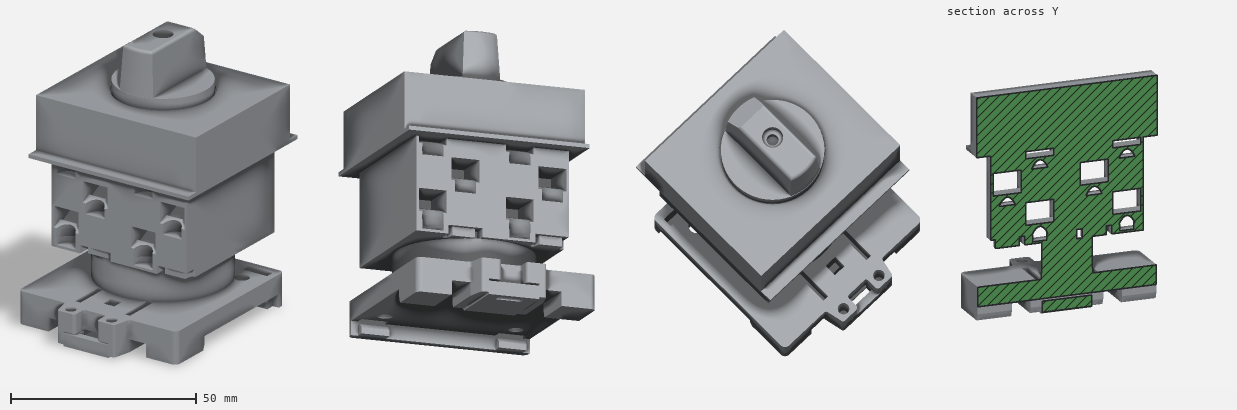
import cadquery as cq
import math


BASE_BOTTOM = 0.3
BASE_TOP = 10.05
BODY_BOTTOM = 20.3
FLANGE_BOTTOM = 46.8
FLANGE_TOP = 48.0
HOUSING_TOP = 64.0
DISC_TOP = 67.25
GRIP_TOP = 80.3

HOUSING_WIDTH = 52.4
HOUSING_DEPTH = 45.0
FLANGE_DEPTH = 52.1
BODY_WIDTH = 44.3
BODY_DEPTH = 42.0
BODY_FRONT = -BODY_DEPTH / 2
NECK_DIAMETER = 39.0

KNOB_DIAMETER = 27.95
KNOB_GROOVE_DIAMETER = 28.8
KNOB_GROOVE_DEPTH = 0.8
GRIP_BOTTOM_DIAMETER = 27.7
GRIP_TOP_DIAMETER = 25.9
GRIP_BOTTOM_WIDTH = 10.9
GRIP_TOP_WIDTH = 9.5
GRIP_FILLET = 1.0
SLANT_TOP_Y = 8.0
SLANT_DROP = 4.4
SLANT_RUN = 5.15
KNOB_HOLE_DIAMETER = 5.7
KNOB_HOLE_DEPTH = 2.65
KNOB_SCREW_DIAMETER = 3.2
KNOB_SCREW_DEPTH = 2.4

POCKET_WIDTH = 8.0
POCKET_HEIGHT = 6.35
POCKET_PITCH = 25.2
POCKET_X = 17.35
ROW_PITCH = 9.5
LOWEST_SILL = 25.95
SLOPE_ANGLE = 25
SLOPE = math.tan(math.radians(SLOPE_ANGLE))
FIRST_SLOPE_DEPTH = 3.0
SECOND_SLOPE_DEPTH = 8.4
BORE_DIAMETER = 6.2
BORE_DROP = 3.1
BORE_INSET = 0.65
LOWEST_FLOOR = 21.05

RECESS_WIDTH = 10.0
RECESS_HEIGHT = 2.5
RECESS_DEPTH = 4.0
LATCH_INSET = 1.4
LATCH_FACE_WIDTH = 6.5
LATCH_ROOT_WIDTH = 7.55

BASE_WIDTH = 51.9
BASE_BACK = 20.0
BASE_FRONT = -31.4
BASE_CORNER = 1.6
RAIL_ROOF = 4.3
RAIL_BACK = 17.4
RAIL_FRONT = -18.0
FOOT_SLANT_TOP = 2.25
FOOT_SLANT_RUN = 0.65

TONGUE_FRONT = -36.95
TONGUE_BOTTOM = 0.6
TONGUE_ROOT_WIDTH = 21.05
TONGUE_TIP_WIDTH = 18.6
TONGUE_ROOT_FILLET = 0.8
TONGUE_TIP_FILLET = 0.7
FRONT_NOTCH_WIDTH = 31.9
TONGUE_WINDOW_WIDTH = 7.15
TONGUE_WINDOW_BACK = -32.5
TONGUE_WINDOW_CORNER = 0.65
TONGUE_WINDOW_LIP = 1.0
TONGUE_HOLE_X = 6.7
TONGUE_HOLE_Y = -34.3
TONGUE_HOLE_TOP_DIAMETER = 3.1
TONGUE_HOLE_BOTTOM_DIAMETER = 2.1

SLIT_X = 8.1
SLIT_WIDTH = 1.8
SLIT_FRONT = -28.9
SLIT_BACK = RAIL_FRONT
SQUARE_SIZE = 3.6
SQUARE_Y = -24.2
HOOK_X = 19.9
HOOK_WIDTH = 8.0
HOOK_REACH = 2.65
HOOK_TOP = 3.2
HOOK_CHAMFER = 1.1
MOUNT_HOLE_DIAMETER = 4.2
MOUNT_HOLE_X = 19.0
MOUNT_HOLE_Y = 10.05

SLIDER_FRONT = -36.9
SLIDER_WIDTH = 14.6
SLIDER_TOP = 3.8
SLIDER_BAR_BACK = -34.6
SLIDER_POCKET_WIDTH = 12.05
SLIDER_POCKET_BACK = -24.1
SLIDER_POCKET_FLOOR = 0.65
WEDGE_FOOT_Y = -18.6
WEDGE_TIP_Y = -15.7
WEDGE_TIP_Z = 2.2
WEDGE_TOP_Y = -17.35
WEDGE_TOP_Z = 3.2


def block(x_min, x_max, y_min, y_max, z_min, z_max):
    """Box given by its limits along each axis."""
    size = (x_max - x_min, y_max - y_min, z_max - z_min)
    return cq.Workplane("XY").box(*size, centered=False).translate((x_min, y_min, z_min))


def centred_block(x_centre, width, y_min, y_max, z_min, z_max):
    """Box centred on x_centre along X."""
    return block(x_centre - width / 2, x_centre + width / 2, y_min, y_max, z_min, z_max)


def cylinder(x, y, diameter, z_min, z_max):
    """Upright cylinder."""
    return cq.Workplane("XY", origin=(x, y, z_min)).circle(diameter / 2).extrude(z_max - z_min)


def profile_along_x(points, x_centre, width):
    """Closed outline of (y, z) points, extruded along X about x_centre."""
    plane = cq.Workplane("YZ", origin=(x_centre - width / 2, 0, 0))
    return plane.polyline(points).close().extrude(width)


def make_knob():
    """Round disc carrying a tapered grip with a slanted back and a stepped hole."""
    slab = (
        cq.Workplane("XZ", origin=(0, KNOB_DIAMETER / 2, 0))
        .polyline([
            (-GRIP_BOTTOM_WIDTH / 2, DISC_TOP),
            (GRIP_BOTTOM_WIDTH / 2, DISC_TOP),
            (GRIP_TOP_WIDTH / 2, GRIP_TOP),
            (-GRIP_TOP_WIDTH / 2, GRIP_TOP),
        ])
        .close()
        .extrude(KNOB_DIAMETER)
    )
    envelope = (
        cq.Workplane("XY", origin=(0, 0, DISC_TOP))
        .circle(GRIP_BOTTOM_DIAMETER / 2)
        .workplane(offset=GRIP_TOP - DISC_TOP)
        .circle(GRIP_TOP_DIAMETER / 2)
        .loft()
    )
    grip = slab.intersect(envelope).faces(">Z").edges().fillet(GRIP_FILLET)
    slant_end_y = SLANT_TOP_Y + 2 * SLANT_RUN
    slant = profile_along_x(
        [
            (SLANT_TOP_Y, GRIP_TOP),
            (slant_end_y, GRIP_TOP),
            (slant_end_y, GRIP_TOP - 2 * SLANT_DROP),
        ],
        0,
        KNOB_DIAMETER,
    )
    hole_floor = GRIP_TOP - KNOB_HOLE_DEPTH
    hole = cylinder(0, 0, KNOB_HOLE_DIAMETER, hole_floor, GRIP_TOP)
    screw_hole = cylinder(0, 0, KNOB_SCREW_DIAMETER, hole_floor - KNOB_SCREW_DEPTH, hole_floor)
    disc = cylinder(0, 0, KNOB_DIAMETER, HOUSING_TOP, DISC_TOP)
    return disc.union(grip.cut(slant)).cut(hole).cut(screw_hole)


def make_housing():
    """Square housing with a groove around the knob, above a flange that projects front and back."""
    housing = centred_block(0, HOUSING_WIDTH, -HOUSING_DEPTH / 2, HOUSING_DEPTH / 2, FLANGE_TOP, HOUSING_TOP)
    flange = centred_block(0, HOUSING_WIDTH, -FLANGE_DEPTH / 2, FLANGE_DEPTH / 2, FLANGE_BOTTOM, FLANGE_TOP)
    groove_floor = HOUSING_TOP - KNOB_GROOVE_DEPTH
    groove = cylinder(0, 0, KNOB_GROOVE_DIAMETER, groove_floor, HOUSING_TOP)
    groove = groove.cut(cylinder(0, 0, KNOB_DIAMETER, groove_floor, HOUSING_TOP))
    return housing.cut(groove).union(flange)


def terminal_pocket(x, sill):
    """Terminal opening with a saw-tooth sloping floor and a leaning screwdriver bore."""
    step_y = BODY_FRONT + FIRST_SLOPE_DEPTH
    back_y = step_y + SECOND_SLOPE_DEPTH
    top = sill + POCKET_HEIGHT
    opening = profile_along_x(
        [
            (BODY_FRONT, sill),
            (step_y, sill + SLOPE * FIRST_SLOPE_DEPTH),
            (step_y, sill),
            (back_y, sill + SLOPE * SECOND_SLOPE_DEPTH),
            (back_y, top),
            (BODY_FRONT, top),
        ],
        x,
        POCKET_WIDTH,
    )
    floor = sill - BORE_DROP
    axis = cq.Vector(0, -SLOPE, 1)
    foot = cq.Vector(x, BODY_FRONT + BORE_INSET, floor) - axis * BORE_DIAMETER
    bore = cq.Workplane(cq.Solid.makeCylinder(BORE_DIAMETER / 2, 3 * BORE_DIAMETER, foot, axis))
    bore = bore.intersect(
        centred_block(x, POCKET_WIDTH, BODY_FRONT, back_y, floor, sill + SLOPE * FIRST_SLOPE_DEPTH)
    )
    return opening.union(bore)


def latch_recess(x):
    """Recess in the lower front edge, leaving a tapered latch set back inside it."""
    back_y = BODY_FRONT + RECESS_DEPTH
    top = BODY_BOTTOM + RECESS_HEIGHT
    recess = centred_block(x, RECESS_WIDTH, BODY_FRONT, back_y, BODY_BOTTOM, top)
    latch_y = BODY_FRONT + LATCH_INSET
    latch = (
        cq.Workplane("XY", origin=(x, 0, BODY_BOTTOM))
        .polyline([
            (-LATCH_FACE_WIDTH / 2, latch_y),
            (LATCH_FACE_WIDTH / 2, latch_y),
            (LATCH_ROOT_WIDTH / 2, back_y),
            (-LATCH_ROOT_WIDTH / 2, back_y),
        ])
        .close()
        .extrude(RECESS_HEIGHT)
    )
    return recess.cut(latch)


def make_body():
    """Terminal body with three staggered rows of terminals on its front face."""
    body = centred_block(0, BODY_WIDTH, BODY_FRONT, -BODY_FRONT, BODY_BOTTOM, FLANGE_BOTTOM)
    left_row = (-POCKET_X, POCKET_PITCH - POCKET_X)
    right_row = (POCKET_X - POCKET_PITCH, POCKET_X)
    for row, centres in enumerate((left_row, right_row, left_row)):
        for x in centres:
            body = body.cut(terminal_pocket(x, LOWEST_SILL + row * ROW_PITCH))
    bore_y = BODY_FRONT + BORE_INSET
    for x in left_row:
        body = body.cut(cylinder(x, bore_y, BORE_DIAMETER, LOWEST_FLOOR, LOWEST_SILL - BORE_DROP))
    for x in right_row:
        body = body.cut(latch_recess(x))
    return body


def make_tongue():
    """Tapered tongue with a window open at its tip and two tapered holes."""
    outline = [
        (-TONGUE_ROOT_WIDTH / 2, BASE_FRONT),
        (-TONGUE_TIP_WIDTH / 2, TONGUE_FRONT),
        (TONGUE_TIP_WIDTH / 2, TONGUE_FRONT),
        (TONGUE_ROOT_WIDTH / 2, BASE_FRONT),
    ]
    height = BASE_TOP - TONGUE_BOTTOM
    tongue = cq.Workplane("XY", origin=(0, 0, TONGUE_BOTTOM)).polyline(outline).close().extrude(height)
    tongue = tongue.edges("|Z and <Y").fillet(TONGUE_TIP_FILLET)
    window = centred_block(
        0, TONGUE_WINDOW_WIDTH, TONGUE_FRONT, TONGUE_WINDOW_BACK, TONGUE_BOTTOM, BASE_TOP
    )
    window = window.edges("|Z and >Y").fillet(TONGUE_WINDOW_CORNER)
    tongue = tongue.cut(window)
    lips = cq.selectors.BoxSelector(
        (-TONGUE_WINDOW_WIDTH, TONGUE_FRONT - TONGUE_WINDOW_LIP / 2, TONGUE_BOTTOM),
        (TONGUE_WINDOW_WIDTH, TONGUE_FRONT + TONGUE_WINDOW_LIP / 2, BASE_TOP),
    )
    tongue = tongue.edges("|Z").edges(lips).fillet(TONGUE_WINDOW_LIP)
    for side in (-1, 1):
        hole = (
            cq.Workplane("XY", origin=(side * TONGUE_HOLE_X, TONGUE_HOLE_Y, BASE_TOP))
            .circle(TONGUE_HOLE_TOP_DIAMETER / 2)
            .workplane(offset=RAIL_ROOF - BASE_TOP)
            .circle(TONGUE_HOLE_BOTTOM_DIAMETER / 2)
            .loft()
        )
        tongue = tongue.cut(hole)
    return tongue


def make_slider():
    """Rail latch below the tongue: a bar, an open pocket and a wedge-shaped nose."""
    slider = profile_along_x(
        [
            (SLIDER_FRONT, 0),
            (WEDGE_FOOT_Y, 0),
            (WEDGE_TIP_Y, WEDGE_TIP_Z),
            (WEDGE_TOP_Y, WEDGE_TOP_Z),
            (WEDGE_TOP_Y, SLIDER_TOP),
            (SLIDER_FRONT, SLIDER_TOP),
        ],
        0,
        SLIDER_WIDTH,
    )
    through = centred_block(0, TONGUE_WINDOW_WIDTH, SLIDER_BAR_BACK, TONGUE_WINDOW_BACK, 0, SLIDER_TOP)
    pocket = centred_block(
        0, SLIDER_POCKET_WIDTH, TONGUE_WINDOW_BACK, SLIDER_POCKET_BACK, SLIDER_POCKET_FLOOR, SLIDER_TOP
    )
    return slider.cut(through).cut(pocket)


def make_base():
    """Rail base plate with a rail channel, back hooks, front tongue and slider."""
    base = centred_block(0, BASE_WIDTH, BASE_FRONT, BASE_BACK, BASE_BOTTOM, BASE_TOP)
    base = base.edges("|Z").fillet(BASE_CORNER)

    notch = centred_block(0, FRONT_NOTCH_WIDTH, BASE_FRONT, RAIL_FRONT, BASE_BOTTOM, RAIL_ROOF)
    guide = centred_block(0, TONGUE_ROOT_WIDTH, BASE_FRONT, RAIL_FRONT, TONGUE_BOTTOM, RAIL_ROOF)
    base = base.cut(notch).union(guide)
    channel = profile_along_x(
        [
            (RAIL_BACK, BASE_BOTTOM),
            (RAIL_BACK, RAIL_ROOF),
            (RAIL_FRONT, RAIL_ROOF),
            (RAIL_FRONT, FOOT_SLANT_TOP),
            (RAIL_FRONT - FOOT_SLANT_RUN, BASE_BOTTOM),
        ],
        0,
        BASE_WIDTH,
    )
    base = base.cut(channel).union(make_tongue())
    roots = cq.selectors.BoxSelector(
        (-TONGUE_ROOT_WIDTH, BASE_FRONT - TONGUE_ROOT_FILLET / 2, RAIL_ROOF),
        (TONGUE_ROOT_WIDTH, BASE_FRONT + TONGUE_ROOT_FILLET / 2, BASE_TOP),
    )
    base = base.edges("|Z").edges(roots).fillet(TONGUE_ROOT_FILLET)
    slider_way = centred_block(0, SLIDER_WIDTH, TONGUE_FRONT, RAIL_FRONT, BASE_BOTTOM, RAIL_ROOF)
    base = base.cut(slider_way).union(make_slider())
    square_front = SQUARE_Y - SQUARE_SIZE / 2
    base = base.cut(
        centred_block(0, SQUARE_SIZE, square_front, square_front + SQUARE_SIZE, RAIL_ROOF, BASE_TOP)
    )

    hook_tip = RAIL_BACK - HOOK_REACH
    hook_profile = [
        (RAIL_BACK, BASE_BOTTOM),
        (RAIL_BACK, HOOK_TOP),
        (hook_tip + HOOK_CHAMFER, HOOK_TOP),
        (hook_tip, HOOK_TOP - HOOK_CHAMFER),
        (hook_tip, BASE_BOTTOM),
    ]
    for side in (-1, 1):
        base = base.cut(centred_block(side * SLIT_X, SLIT_WIDTH, SLIT_FRONT, SLIT_BACK, RAIL_ROOF, BASE_TOP))
        base = base.cut(centred_block(side * HOOK_X, HOOK_WIDTH, hook_tip, RAIL_BACK, RAIL_ROOF, BASE_TOP))
        base = base.cut(
            cylinder(side * MOUNT_HOLE_X, MOUNT_HOLE_Y, MOUNT_HOLE_DIAMETER, RAIL_ROOF, BASE_TOP)
        )
        base = base.union(profile_along_x(hook_profile, side * HOOK_X, HOOK_WIDTH))
    return base


neck = cylinder(0, 0, NECK_DIAMETER, BASE_TOP, BODY_BOTTOM)
result = make_base().union(neck).union(make_body()).union(make_housing()).union(make_knob())